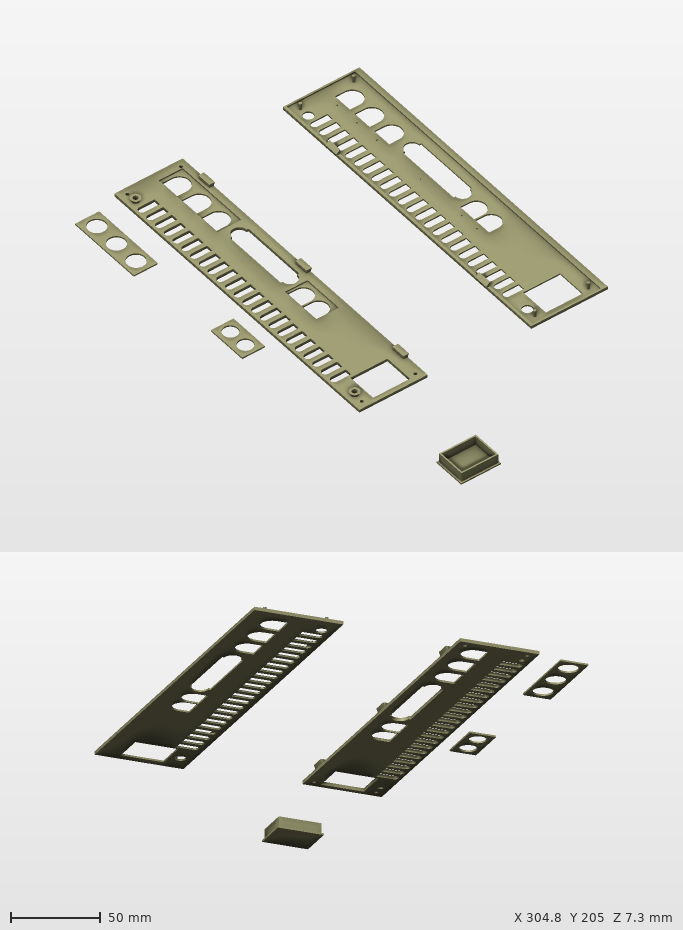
import cadquery as cq
TOTAL_L = 304.8

SHEET = 1.0
PANEL_T = 2 * SHEET
FRAME_Z = SHEET
COVER_Z = FRAME_Z + PANEL_T
COVER_TOP = COVER_Z + PANEL_T
TOP_Z = 7.3

FRAME_L = 227.5
FRAME_W = 53.5
FRAME_Y = 151.5
RIM_END = 1.2
RIM_FRONT = 1.8
RIM_BACK = 4.0
PEG_D = 2.0
PEG_TOP = 6.5
PIN_D = 0.8
PIN_H = 1.0
PIN_GAP = 3.7
CATCH_L = 10.0
CATCH_SPAN = 137.2
CATCH_OVERHANG = 1.0
CATCH_TOP = 6.5
CATCH_TIP_Z = 4.0

COVER_X = 1.5
COVER_L = 224.3
COVER_W = 48.0
COVER_SHIFT = -121.0
COVER_Y = FRAME_Y + RIM_FRONT + COVER_SHIFT
PEG_HOLE_D = 2.2
TAB_L = 10.0
TAB_SPAN = 177.7
TAB_T = 3.0
TAB_LIP = 1.0
BOSS_TOP_D = 6.7
BOSS_NECK_D = 5.0
BOSS_HOLE_D = 3.5

MID_X = FRAME_L / 2

SILL_Y = 180.5
LARGE_ARCH = 13.7
LARGE_X = 34.7
LARGE_PITCH = 18.0
SMALL_ARCH = 12.8
SMALL_X = 137.8
SMALL_PITCH = 13.7
PORT_X = 93.0
PORT_Y = 188.7
PORT_L = 46.3
PORT_W = 12.8
PORT_END_D = 10.0
WINDOW_X = 201.8
WINDOW_Y = 165.5
WINDOW_L = 20.7
WINDOW_W = 26.0
VENT_COUNT = 23
VENT_SHORT = 7
VENT_X = 21.3
VENT_SPAN = 176.0
VENT_W = 5.0
VENT_Y = 155.0
VENT_TOP = 168.2
VENT_SHORT_TOP = 167.5
PEG_SPAN_X = 214.5
PEG_SPAN_Y = 37.5
PEG_Y = 158.8
SCREW_SPAN = 200.5
SCREW_Y = 159.0
SCREW_D = 6.7

LARGE_PLATE = (53.5, 16.8)
LARGE_PLATE_Y = 0.0
LARGE_PLATE_HOLE = 12.0
SMALL_PLATE = (28.5, 16.0)
SMALL_PLATE_Y = 6.7
SMALL_PLATE_HOLE = 10.0
RECESS_SILL = 1.0

INSERT_L = 22.5
INSERT_W = 27.7
INSERT_X = TOTAL_L - INSERT_L
INSERT_Y = 43.3
INSERT_LIP = 1.0


def box(x, y, z, length, width, height):
    return cq.Workplane("XY").box(length, width, height, centered=False).translate((x, y, z))


def disc(x, y, z, diameter, height):
    return cq.Workplane("XY", origin=(x, y, z)).circle(diameter / 2).extrude(height)


def row(middle, pitch, count):
    """X positions of `count` features spaced evenly about `middle`."""
    return [middle + (i - (count - 1) / 2) * pitch for i in range(count)]


LARGE_XS = row(LARGE_X, LARGE_PITCH, 3)
SMALL_XS = row(SMALL_X, SMALL_PITCH, 2)
SCREW_POINTS = [(x, SCREW_Y) for x in row(MID_X, SCREW_SPAN, 2)]
PEG_POINTS = [(x, y) for x in row(MID_X, PEG_SPAN_X, 2) for y in (PEG_Y, PEG_Y + PEG_SPAN_Y)]


def arch(x, size):
    """Opening with a straight sill and a semicircular head."""
    r = size / 2
    return (
        cq.Workplane("XY")
        .moveTo(x - r, SILL_Y)
        .lineTo(x + r, SILL_Y)
        .lineTo(x + r, SILL_Y + r)
        .threePointArc((x, SILL_Y + size), (x - r, SILL_Y + r))
        .close()
        .extrude(TOP_Z)
    )


def vent(x, top):
    """Slot with a round lower end and a square upper end."""
    r = VENT_W / 2
    return (
        cq.Workplane("XY")
        .moveTo(x - r, top)
        .lineTo(x - r, VENT_Y + r)
        .threePointArc((x, VENT_Y), (x + r, VENT_Y + r))
        .lineTo(x + r, top)
        .close()
        .extrude(TOP_Z)
    )


def cut_openings(panel, shift):
    """Cut the openings common to both panels, moved by `shift` along Y."""
    cutters = [arch(x, LARGE_ARCH) for x in LARGE_XS]
    cutters += [arch(x, SMALL_ARCH) for x in SMALL_XS]
    cutters.append(box(PORT_X - PORT_L / 2, PORT_Y - PORT_W / 2, 0, PORT_L, PORT_W, TOP_Z))
    cutters += [disc(x, PORT_Y, 0, PORT_END_D, TOP_Z) for x in row(PORT_X, PORT_L, 2)]
    cutters.append(box(WINDOW_X, WINDOW_Y, 0, WINDOW_L, WINDOW_W, TOP_Z))
    for i in range(VENT_COUNT):
        top = VENT_TOP if i < VENT_COUNT - VENT_SHORT else VENT_SHORT_TOP
        cutters.append(vent(VENT_X + i * VENT_SPAN / (VENT_COUNT - 1), top))
    for cutter in cutters:
        panel = panel.cut(cutter.translate((0, shift, 0)))
    return panel


def catch(x):
    """Wedge on the front rim that snaps outward."""
    inner = FRAME_Y + RIM_FRONT
    rim_top = FRAME_Z + PANEL_T
    return (
        cq.Workplane("YZ", origin=(x - CATCH_L / 2, 0, 0))
        .polyline([
            (inner, rim_top),
            (inner, CATCH_TOP),
            (FRAME_Y - CATCH_OVERHANG, CATCH_TIP_Z),
            (FRAME_Y, rim_top),
        ])
        .close()
        .extrude(CATCH_L)
    )


def make_frame():
    """Rimmed panel with pegs, small pins and two catches."""
    frame = box(0, FRAME_Y, FRAME_Z, FRAME_L, FRAME_W, PANEL_T)
    floor_z = FRAME_Z + SHEET
    frame = frame.cut(box(
        RIM_END, FRAME_Y + RIM_FRONT, floor_z,
        FRAME_L - 2 * RIM_END, FRAME_W - RIM_FRONT - RIM_BACK, PANEL_T,
    ))
    frame = cut_openings(frame, 0)
    for x, y in SCREW_POINTS:
        frame = frame.cut(disc(x, y, 0, SCREW_D, TOP_Z))
    for x, y in PEG_POINTS:
        frame = frame.union(disc(x, y, FRAME_Z, PEG_D, PEG_TOP - FRAME_Z))
    for x in LARGE_XS + [PORT_X] + SMALL_XS:
        frame = frame.union(disc(x, SILL_Y - PIN_GAP, FRAME_Z, PIN_D, SHEET + PIN_H))
    for x in row(MID_X, CATCH_SPAN, 2):
        frame = frame.union(catch(x))
    return frame


def tab(x):
    """Upright tab on the back edge with a lip that overhangs the edge."""
    back = COVER_Y + COVER_W
    return (
        cq.Workplane("YZ", origin=(x - TAB_L / 2, 0, 0))
        .polyline([
            (back - TAB_T, COVER_TOP),
            (back, COVER_TOP),
            (back + TAB_LIP, TOP_Z),
            (back - TAB_T, TOP_Z),
        ])
        .close()
        .extrude(TAB_L)
    )


def boss(x, y):
    """Boss that flares towards its top."""
    return (
        cq.Workplane("XY", origin=(x, y, COVER_TOP))
        .circle(BOSS_NECK_D / 2)
        .workplane(offset=TOP_Z - COVER_TOP)
        .circle(BOSS_TOP_D / 2)
        .loft()
    )


def plate_recess(x, size):
    """Shallow pocket that takes one of the loose plates."""
    length, width = size
    y = SILL_Y - RECESS_SILL + COVER_SHIFT
    return box(x - length / 2, y, COVER_TOP - SHEET, length, width, SHEET)


def make_cover():
    """Flat panel with plate recesses, bosses and back tabs."""
    cover = box(COVER_X, COVER_Y, COVER_Z, COVER_L, COVER_W, PANEL_T)
    cover = cover.cut(plate_recess(LARGE_X, LARGE_PLATE))
    cover = cover.cut(plate_recess(SMALL_X, SMALL_PLATE))
    cover = cut_openings(cover, COVER_SHIFT)
    for x, y in PEG_POINTS:
        cover = cover.cut(disc(x, y + COVER_SHIFT, 0, PEG_HOLE_D, TOP_Z))
    for x, y in SCREW_POINTS:
        cover = cover.union(boss(x, y + COVER_SHIFT))
        cover = cover.cut(disc(x, y + COVER_SHIFT, 0, BOSS_HOLE_D, TOP_Z))
    for x in row(MID_X, TAB_SPAN / 2, 3):
        cover = cover.union(tab(x))
    return cover


def make_plate(middle, y, size, hole_d, hole_xs):
    """Thin plate with a row of round holes along its middle."""
    length, width = size
    z = COVER_TOP - SHEET
    plate = box(middle - length / 2, y, z, length, width, SHEET)
    for x in hole_xs:
        plate = plate.cut(disc(x, y + width / 2, z, hole_d, SHEET))
    return plate


def insert_block(inset, z, height):
    """Block whose sides lie `inset` inside the edge of the insert's flange."""
    return box(
        INSERT_X + inset, INSERT_Y + inset, z,
        INSERT_L - 2 * inset, INSERT_W - 2 * inset, height,
    )


def make_insert():
    """Open tray on a flange."""
    flange = insert_block(0, 0, SHEET)
    tray = insert_block(INSERT_LIP, 0, TOP_Z)
    cavity = insert_block(INSERT_LIP + SHEET, SHEET, TOP_Z)
    return flange.union(tray).cut(cavity)


frame = make_frame()
cover = make_cover()
large_plate = make_plate(LARGE_X, LARGE_PLATE_Y, LARGE_PLATE, LARGE_PLATE_HOLE, LARGE_XS)
small_plate = make_plate(SMALL_X, SMALL_PLATE_Y, SMALL_PLATE, SMALL_PLATE_HOLE, SMALL_XS)
insert = make_insert()

result = cq.Compound.makeCompound([
    frame.val(),
    cover.val(),
    large_plate.val(),
    small_plate.val(),
    insert.val(),
])